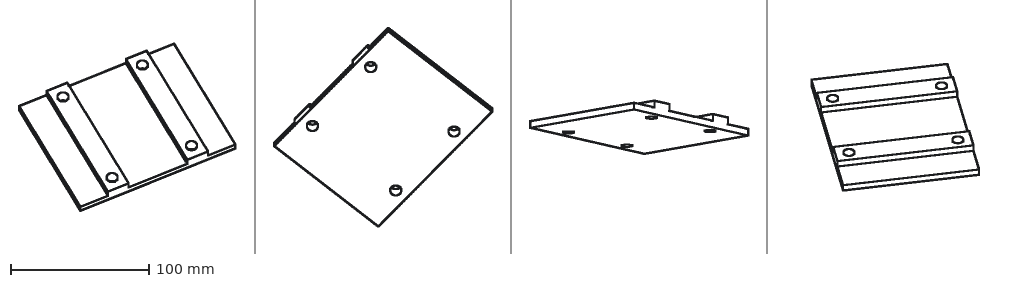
import cadquery as cq

plate_width = 100.0
plate_length = 125.0
plate_thickness = 5.0

rib_width = 16.8
rib_height = 5.0
rib_spacing = 64.0

hole_diameter = 8.0
hole_spacing = 80.0

plate = cq.Workplane("XY").box(
    plate_width, plate_length, plate_thickness, centered=(True, True, False)
)

ribbed_plate = (
    plate.faces(">Z").workplane()
    .rarray(plate_width, rib_spacing, 1, 2)
    .rect(plate_width, rib_width)
    .extrude(rib_height)
)

result = (
    ribbed_plate.faces(">Z").workplane(origin=(0, 0, 0))
    .rarray(hole_spacing, rib_spacing, 2, 2)
    .hole(hole_diameter)
)